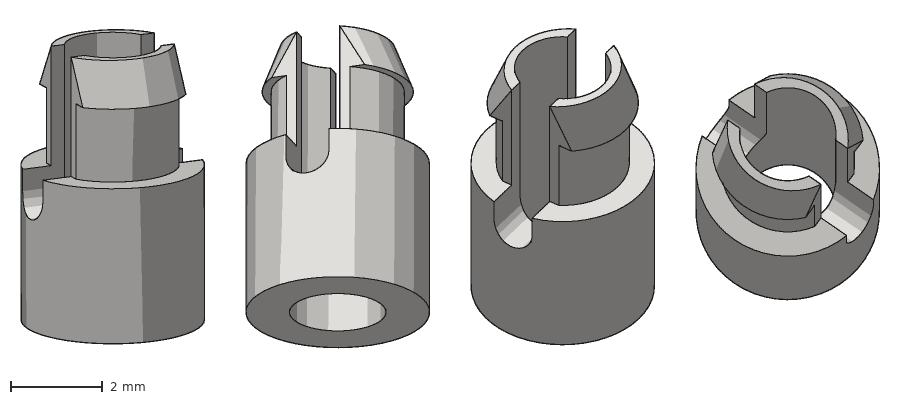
import cadquery as cq
import math

total_height = 6.2
body_diameter = 4.0
body_height = 3.5
bore_diameter = 2.1
neck_diameter = 2.9
flat_width = 2.5
barb_height = 1.0
barb_base_diameter = 3.3
barb_top_width = 2.5
slot_width = 1.0
slot_depth = 1.0

barb_base_z = total_height - barb_height
neck_height = barb_base_z - body_height
slot_radius = slot_width / 2
slot_center_z = body_height - slot_depth + slot_radius
half_flat = flat_width / 2


def flatted_outline(plane, half_width, half_flat_length):
    """Outline with flats at +Y and -Y, and arcs bulging to +X and -X."""
    return (
        plane.moveTo(-half_flat_length, half_flat)
        .lineTo(half_flat_length, half_flat)
        .threePointArc((half_width, 0), (half_flat_length, -half_flat))
        .lineTo(-half_flat_length, -half_flat)
        .threePointArc((-half_width, 0), (-half_flat_length, half_flat))
        .close()
    )


def flat_half_length(diameter):
    """Half length of the flat cut across a circle of the given diameter."""
    return math.sqrt((diameter / 2) ** 2 - half_flat ** 2)


def make_neck():
    plane = cq.Workplane("XY").workplane(offset=body_height)
    outline = flatted_outline(plane, neck_diameter / 2, flat_half_length(neck_diameter))
    return outline.extrude(neck_height)


def make_barb():
    """Tapered snap head; its flats narrow to the slot width at the top."""
    base_plane = cq.Workplane("XY").workplane(offset=barb_base_z)
    base = flatted_outline(base_plane, barb_base_diameter / 2, flat_half_length(barb_base_diameter))
    top_plane = base.workplane(offset=barb_height)
    top = flatted_outline(top_plane, barb_top_width / 2, slot_width / 2)
    return top.loft(ruled=True, combine=True)


def make_slot():
    """Round-bottomed slot through the part along Y, open at the top."""
    return (
        cq.Workplane("XZ")
        .moveTo(-slot_radius, total_height)
        .lineTo(-slot_radius, slot_center_z)
        .threePointArc((0, slot_center_z - slot_radius), (slot_radius, slot_center_z))
        .lineTo(slot_radius, total_height)
        .close()
        .extrude(body_diameter, both=True)
    )


body = cq.Workplane("XY").circle(body_diameter / 2).extrude(body_height)
bore = cq.Workplane("XY").circle(bore_diameter / 2).extrude(total_height)

result = body.union(make_neck()).union(make_barb()).cut(bore).cut(make_slot())